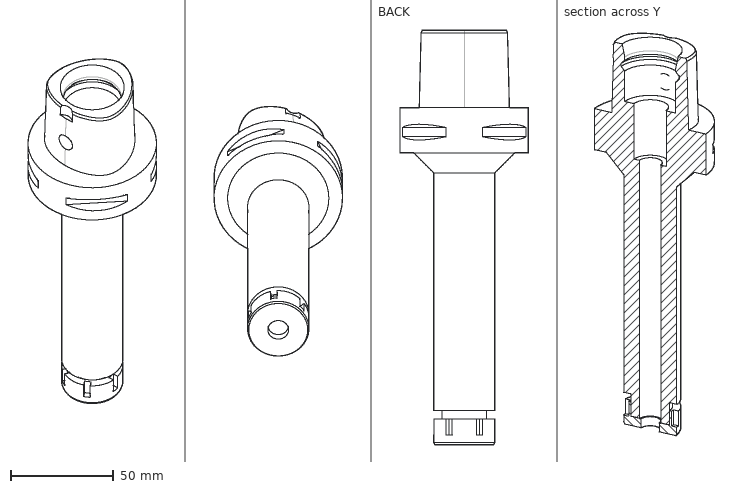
import cadquery as cq
import math

total_height = 203.0
shank_height = 38.0
flange_height = 22.1
cone_height = 9.7
nut_height = 12.8
neck_gap = 4.0

shank_base_z = total_height - shank_height
flange_base_z = shank_base_z - flange_height
cone_base_z = flange_base_z - cone_height
body_base_z = nut_height + neck_gap

flange_radius = 31.5
body_radius = 15.0
cone_radius = body_radius + cone_height
neck_radius = 11.0

polygon_radius = 22.1
polygon_lobe = 1.5
lobe_count = 3
polygon_steps = 12
taper_ratio = 1 / 40
rim_chamfer_height = 1.5
rim_chamfer_width = 0.6

bore_radius = 14.2
mouth_radius = 15.6
mouth_depth = 6.7
groove_top_depth = 8.5
groove_side = 2.0
groove_bottom_depth = 14.2
bore_depth = 30.5
draw_hole_radius = 9.0
coolant_hole_radius = 5.9

key_radius = 5.0
key_floor = 17.9
key_height = 6.5
side_hole_radius = 4.3
side_hole_floor = 14.6
side_hole_depth_below_rim = 22.5

gripper_count = 4
gripper_first_angle = 45
gripper_floor = 27.6
gripper_floor_height = 4.5
gripper_mouth_height = 7.7
gripper_z = 153.0

nut_radius = body_radius
nut_hole_radius = 5.0
nut_lip_height = 4.9
nut_chamfer_height = 1.2
nut_chamfer_width = 0.6
nut_slot_count = 6
nut_slot_width = 3.2
nut_slot_floor = 12.2


def polygon_halves(mean_radius, z):
    """Right and left half of a constant-width outline with one lobe towards +Y.

    The reach is the distance from the axis to the tangent line square to each angle.
    """

    def point(angle):
        reach = mean_radius - polygon_lobe * math.sin(lobe_count * angle)
        slope = -lobe_count * polygon_lobe * math.cos(lobe_count * angle)
        x = reach * math.cos(angle) - slope * math.sin(angle)
        y = reach * math.sin(angle) + slope * math.cos(angle)
        return cq.Vector(x, y, z)

    def tangent(angle):
        curvature_radius = mean_radius + (lobe_count**2 - 1) * polygon_lobe * math.sin(lobe_count * angle)
        return cq.Vector(-math.sin(angle), math.cos(angle)) * curvature_radius

    halves = []
    for start in (-math.pi / 2, math.pi / 2):
        angles = [start + math.pi * step / polygon_steps for step in range(polygon_steps + 1)]
        points = [point(angle) for angle in angles]
        end_tangents = [tangent(angles[0]), tangent(angles[-1])]
        halves.append(cq.Edge.makeSpline(points, end_tangents, parameters=angles, scale=False))
    return halves


def revolve_profile(points):
    """Turn a closed (radius, z) outline about the Z axis."""
    return cq.Workplane("XZ").polyline(points).close().revolve(360, (0, 0), (0, 1))


def make_shank():
    """Tapered polygon shank with a chamfered rim."""
    chamfer_z = total_height - rim_chamfer_height
    upper_radius = polygon_radius - taper_ratio * (chamfer_z - shank_base_z)
    rim_radius = upper_radius - rim_chamfer_width
    outlines = [
        polygon_halves(polygon_radius, shank_base_z),
        polygon_halves(upper_radius, chamfer_z),
        polygon_halves(rim_radius, total_height),
    ]
    faces = []
    for lower, upper in zip(outlines, outlines[1:]):
        for lower_half, upper_half in zip(lower, upper):
            faces.append(cq.Face.makeRuledSurface(lower_half, upper_half))
    for cap in (outlines[0], outlines[-1]):
        faces.append(cq.Face.makeFromWires(cq.Wire.assembleEdges(cap)))
    return cq.Workplane(cq.Solid.makeSolid(cq.Shell.makeShell(faces)))


def make_turned_body():
    """Flange, cone, long body and the neck that enters the nut."""
    return revolve_profile([
        (0, nut_lip_height),
        (neck_radius, nut_lip_height),
        (neck_radius, body_base_z),
        (body_radius, body_base_z),
        (body_radius, cone_base_z),
        (cone_radius, flange_base_z),
        (flange_radius, flange_base_z),
        (flange_radius, shank_base_z),
        (0, shank_base_z),
    ])


def make_bore():
    """Conical mouth, clamping groove, bore, draw-bolt hole and coolant hole."""
    groove_radius = bore_radius + groove_side
    bore_floor_z = total_height - bore_depth
    return revolve_profile([
        (0, total_height),
        (mouth_radius, total_height),
        (bore_radius, total_height - mouth_depth),
        (bore_radius, total_height - groove_top_depth),
        (groove_radius, total_height - groove_top_depth - groove_side),
        (groove_radius, total_height - groove_bottom_depth + groove_side),
        (bore_radius, total_height - groove_bottom_depth),
        (bore_radius, bore_floor_z),
        (draw_hole_radius, bore_floor_z),
        (draw_hole_radius, flange_base_z),
        (coolant_hole_radius, flange_base_z),
        (coolant_hole_radius, nut_lip_height),
        (0, nut_lip_height),
    ])


def make_keyway():
    """Round-backed keyway cutter, open at the rim and on the -Y side."""
    return (
        cq.Workplane("XY", origin=(0, -key_floor - key_radius, total_height - key_height))
        .circle(key_radius)
        .extrude(key_height)
    )


def make_side_hole():
    """Blind hole cutter entering the shank from -Y."""
    return (
        cq.Workplane("XZ", origin=(0, -side_hole_floor, total_height - side_hole_depth_below_rim))
        .circle(side_hole_radius)
        .extrude(polygon_radius - side_hole_floor)
    )


def make_gripper_slot(angle):
    """Straight slot cutter with a flat floor and flared flanks, at one angle of the flange."""
    floor_half = gripper_floor_height / 2
    mouth_half = gripper_mouth_height / 2
    return (
        cq.Workplane("XZ")
        .polyline([
            (gripper_floor, gripper_z - floor_half),
            (flange_radius, gripper_z - mouth_half),
            (flange_radius, gripper_z + mouth_half),
            (gripper_floor, gripper_z + floor_half),
        ])
        .close()
        .extrude(flange_radius, both=True)
        .rotate((0, 0, 0), (0, 0, 1), angle)
    )


def make_holder():
    """One-piece holder: shank, flange and long body with every cut made."""
    holder = make_turned_body().union(make_shank())
    holder = holder.cut(make_bore()).cut(make_keyway()).cut(make_side_hole())
    for index in range(gripper_count):
        angle = gripper_first_angle + index * 360 / gripper_count
        holder = holder.cut(make_gripper_slot(angle))
    return holder


def make_nut_slot(angle):
    """Spanner slot cutter, open at the top and the outside of the nut."""
    return (
        cq.Workplane("XY", origin=(0, 0, nut_lip_height))
        .center(nut_slot_floor + nut_radius / 2, 0)
        .rect(nut_radius, nut_slot_width)
        .extrude(nut_height - nut_lip_height)
        .rotate((0, 0, 0), (0, 0, 1), angle)
    )


def make_nut():
    """Cap nut around the neck, with a lip under it and spanner slots."""
    nut = revolve_profile([
        (nut_hole_radius, 0),
        (nut_radius - nut_chamfer_width, 0),
        (nut_radius, nut_chamfer_height),
        (nut_radius, nut_height),
        (neck_radius, nut_height),
        (neck_radius, nut_lip_height),
        (nut_hole_radius, nut_lip_height),
    ])
    for index in range(nut_slot_count):
        nut = nut.cut(make_nut_slot(index * 360 / nut_slot_count))
    return nut


holder = make_holder()
nut = make_nut()

result = cq.Compound.makeCompound([holder.solids().val(), nut.solids().val()])